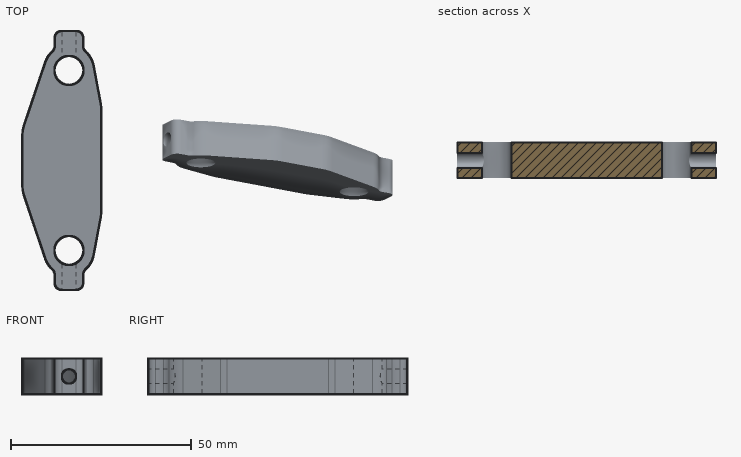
import cadquery as cq
import math

THICKNESS = 10.0
HOLE_SPACING = 50.0
HOLE_DIAMETER = 8.0
LUG_RADIUS = 7.0

LEFT_X = -13.0
LEFT_CORNER_Y = 8.33
RIGHT_X = 9.0
RIGHT_CORNER_Y = 15.0
FLANK_CORNER_RADIUS = 10.0

TOTAL_LENGTH = 72.0
TAB_WIDTH = 8.0
TAB_CORNER_RADIUS = 2.0
TAB_ROOT_RADIUS = 2.0
CROSS_HOLE_DIAMETER = 4.0

END_Y = TOTAL_LENGTH / 2
HOLE_Y = HOLE_SPACING / 2
HALF_TAB = TAB_WIDTH / 2
SELECT_MARGIN = 0.1


def lug_tangent_point(corner_x, corner_y):
    """Point where the line from a flank corner touches the lug at +Y on its outer side."""
    side = math.copysign(1, corner_x)
    drop = HOLE_Y - corner_y
    distance = math.hypot(corner_x, drop)
    line_to_corner = math.atan2(-drop, abs(corner_x))
    angle = line_to_corner + math.acos(LUG_RADIUS / distance)
    return side * LUG_RADIUS * math.cos(angle), HOLE_Y + LUG_RADIUS * math.sin(angle)


def mirrored(point):
    """The same point at the -Y end."""
    return point[0], -point[1]


def fillet_upright_edges(solid, points, radius):
    """Round the full-height vertical edges that stand at the given XY points."""
    edges = []
    for x, y in points:
        low = (x - SELECT_MARGIN, y - SELECT_MARGIN, 0)
        high = (x + SELECT_MARGIN, y + SELECT_MARGIN, THICKNESS)
        edges += solid.edges("|Z").edges(cq.selectors.BoxSelector(low, high)).vals()
    return solid.newObject(edges).fillet(radius)


def plate():
    """Plate with two unequal tapered sides running tangent into the round lugs."""
    left_corner = (LEFT_X, LEFT_CORNER_Y)
    right_corner = (RIGHT_X, RIGHT_CORNER_Y)
    left_tangent = lug_tangent_point(*left_corner)
    right_tangent = lug_tangent_point(*right_corner)
    lug_top = (0, HOLE_Y + LUG_RADIUS)
    body = (
        cq.Workplane("XY")
        .moveTo(*mirrored(left_corner))
        .lineTo(*left_corner)
        .lineTo(*left_tangent)
        .threePointArc(lug_top, right_tangent)
        .lineTo(*right_corner)
        .lineTo(*mirrored(right_corner))
        .lineTo(*mirrored(right_tangent))
        .threePointArc(mirrored(lug_top), mirrored(left_tangent))
        .close()
        .extrude(THICKNESS)
    )
    corners = [left_corner, right_corner, mirrored(left_corner), mirrored(right_corner)]
    return fillet_upright_edges(body, corners, FLANK_CORNER_RADIUS)


def add_tabs(body):
    """Add a tab at each end, round its outer corners and blend its roots into the lug."""
    tab_length = END_Y - HOLE_Y
    tab_centers = [(0, end * (HOLE_Y + tab_length / 2)) for end in (1, -1)]
    tabs = cq.Workplane("XY").pushPoints(tab_centers).rect(TAB_WIDTH, tab_length).extrude(THICKNESS)
    root_y = HOLE_Y + math.sqrt(LUG_RADIUS**2 - HALF_TAB**2)
    outer_corners = [(x, y) for x in (-HALF_TAB, HALF_TAB) for y in (-END_Y, END_Y)]
    roots = [(x, y) for x in (-HALF_TAB, HALF_TAB) for y in (-root_y, root_y)]
    body = body.union(tabs)
    body = fillet_upright_edges(body, roots, TAB_ROOT_RADIUS)
    return fillet_upright_edges(body, outer_corners, TAB_CORNER_RADIUS)


def main_holes():
    """Two vertical through holes."""
    centers = [(0, HOLE_Y), (0, -HOLE_Y)]
    return cq.Workplane("XY").pushPoints(centers).circle(HOLE_DIAMETER / 2).extrude(THICKNESS)


def cross_hole(end):
    """Mid-height hole along Y from the tab end (+1 or -1) to the axis of the nearby hole."""
    return (
        cq.Workplane("XZ", origin=(0, end * HOLE_Y, THICKNESS / 2))
        .circle(CROSS_HOLE_DIAMETER / 2)
        .extrude(-end * (END_Y - HOLE_Y))
    )


result = add_tabs(plate()).cut(main_holes())
for tab_end in (1, -1):
    result = result.cut(cross_hole(tab_end))